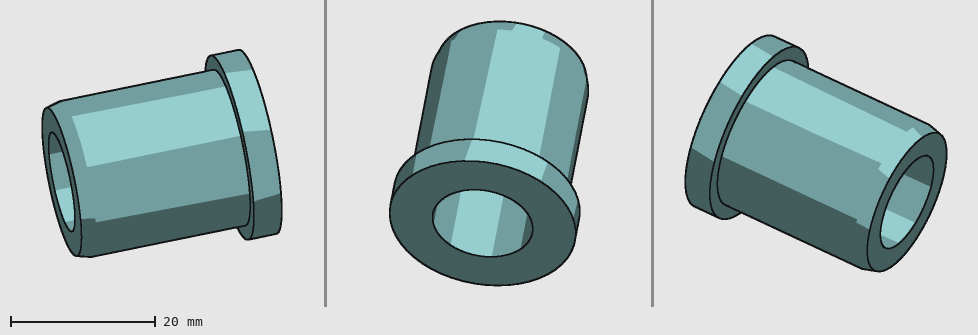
import cadquery as cq
import math

total_length = 28.0
flange_diameter = 26.0
flange_thickness = 4.0
body_diameter = 22.0
bore_diameter = 14.0
lead_in_length = 2.0
lead_in_angle = 15.0

flange_radius = flange_diameter / 2
body_radius = body_diameter / 2
bore_radius = bore_diameter / 2
tip_radius = body_radius - lead_in_length * math.tan(math.radians(lead_in_angle))
flange_start = total_length - flange_thickness

half_section = [
    (bore_radius, 0),
    (tip_radius, 0),
    (body_radius, lead_in_length),
    (body_radius, flange_start),
    (flange_radius, flange_start),
    (flange_radius, total_length),
    (bore_radius, total_length),
]

result = cq.Workplane("XY").polyline(half_section).close().revolve(360, (0, 0), (0, 1))